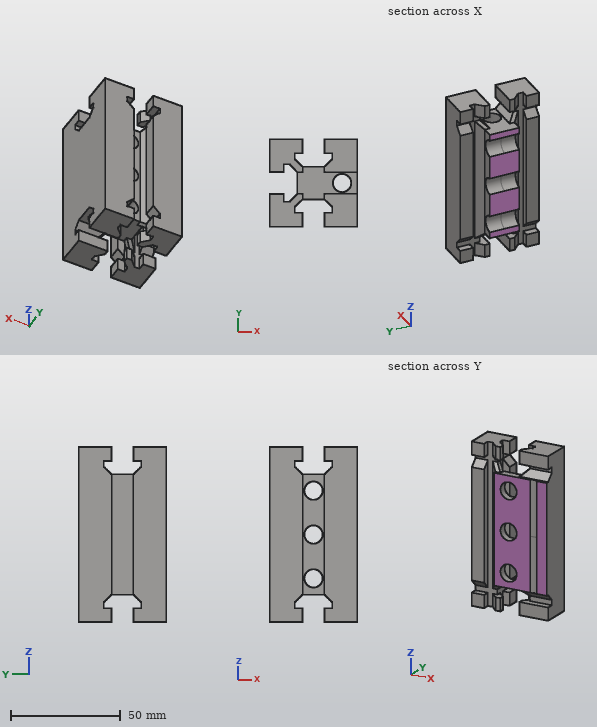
import cadquery as cq

post_width = 40.0
post_height = 80.0

mouth_width = 10.0
lip_depth = 6.5
undercut_width = 17.0
undercut_wall = 2.6
slot_depth = 12.5

hole_diameter = 8.2
cross_hole_pitch = 20.0
cross_hole_count = 3
vertical_hole_x = 13.0


def slot_cutter(run_direction, open_direction, face_distance):
    """T-slot through the whole post, opening on the face that lies
    face_distance from the centre along open_direction."""
    half_mouth = mouth_width / 2
    half_undercut = undercut_width / 2
    taper_start = lip_depth + undercut_wall
    half_outline = [
        (half_mouth, 0),
        (half_mouth, -lip_depth),
        (half_undercut, -lip_depth),
        (half_undercut, -taper_start),
        (half_mouth, -slot_depth),
    ]
    mirrored = [(-across, depth) for across, depth in reversed(half_outline)]

    open_vector = cq.Vector(*open_direction)
    run_vector = cq.Vector(*run_direction)
    plane = cq.Plane(
        origin=(open_vector * face_distance).toTuple(),
        xDir=open_vector.cross(run_vector).toTuple(),
        normal=run_direction,
    )
    section = cq.Workplane(plane).polyline(half_outline + mirrored).close()
    return section.extrude(post_height, both=True)


X_AXIS = (1, 0, 0)
Y_AXIS = (0, 1, 0)
Z_AXIS = (0, 0, 1)

side_distance = post_width / 2
end_distance = post_height / 2

slots = [
    (Z_AXIS, (-1, 0, 0), side_distance),
    (Z_AXIS, (0, -1, 0), side_distance),
    (Z_AXIS, (0, 1, 0), side_distance),
    (X_AXIS, (0, 0, 1), end_distance),
    (Y_AXIS, (0, 0, 1), end_distance),
    (X_AXIS, (0, 0, -1), end_distance),
    (Y_AXIS, (0, 0, -1), end_distance),
]

result = cq.Workplane("XY").box(post_width, post_width, post_height)
for run_direction, open_direction, face_distance in slots:
    result = result.cut(slot_cutter(run_direction, open_direction, face_distance))

cross_holes = (
    cq.Workplane("XZ")
    .rarray(0.8, cross_hole_pitch, 1, cross_hole_count)
    .circle(hole_diameter / 2)
    .extrude(post_width, both=True)
)

vertical_hole = (
    cq.Workplane("XY")
    .center(vertical_hole_x, 0)
    .circle(hole_diameter / 2)
    .extrude(post_height, both=True)
)

result = result.cut(cross_holes).cut(vertical_hole)